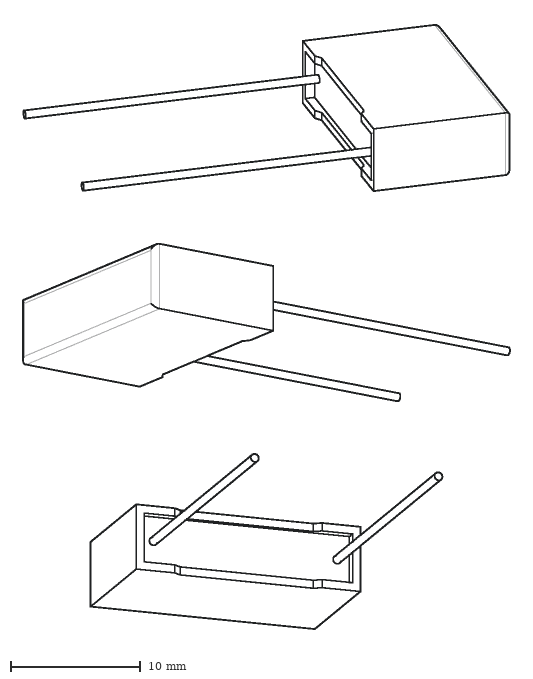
import cadquery as cq

width = 18.3
height = 5.22
total_length = 34.1
housing_length = 11.1
lead_length = total_length - housing_length

wall = 0.65
back_radius = 0.48
relief_depth = 0.38
relief_margin = 3.15
relief_slope = 0.58

fill_recess = 0.75
cavity_width = width - 2 * wall
cavity_height = height - 2 * wall
fill_length = housing_length - wall - fill_recess

lead_pitch = 15.0
lead_diameter = 0.65
lead_embedment = 1.7
lead_positions = [-lead_pitch / 2, lead_pitch / 2]


def block(size_x, size_y, size_z, front_y):
    """Box centred on X and Z that runs toward +Y from front_y."""
    return (
        cq.Workplane("XY")
        .box(size_x, size_y, size_z, centered=(True, False, True))
        .translate((0, front_y, 0))
    )


def make_rim_relief():
    """Trapezoidal cut through both long rims."""
    half_mouth = width / 2 - relief_margin
    half_floor = half_mouth - relief_slope
    return (
        cq.Workplane("XY")
        .polyline([
            (-half_mouth, 0),
            (half_mouth, 0),
            (half_floor, relief_depth),
            (-half_floor, relief_depth),
        ])
        .close()
        .extrude(height / 2, both=True)
    )


def make_housing():
    """Open box with a rounded back and relieved rims."""
    shell = block(width, housing_length, height, 0).faces(">Y").edges().fillet(back_radius)
    cavity = block(cavity_width, housing_length - wall, cavity_height, 0)
    return shell.cut(cavity).cut(make_rim_relief())


def make_lead(x):
    """Round wire from its free end to the bottom of its hole in the fill."""
    return (
        cq.Workplane("XZ", origin=(x, -lead_length, 0))
        .circle(lead_diameter / 2)
        .extrude(-(lead_length + fill_recess + lead_embedment))
    )


def make_fill(leads):
    """Block that fills the cavity behind the recess, with a hole for each lead."""
    fill = block(cavity_width, fill_length, cavity_height, fill_recess)
    for lead in leads:
        fill = fill.cut(lead)
    return fill


housing = make_housing()
leads = [make_lead(x) for x in lead_positions]
fill = make_fill(leads)

result = cq.Compound.makeCompound([
    housing.val(),
    fill.val(),
    *[lead.val() for lead in leads],
])